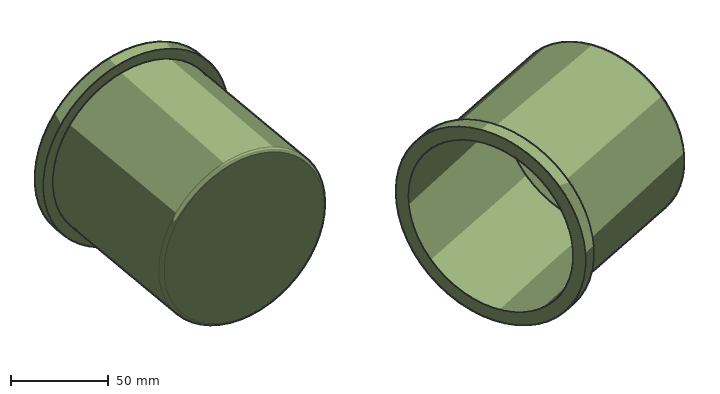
import cadquery as cq
import math

length = 104.0
flange_diameter = 116.0
flange_thickness = 7.8
body_diameter = 104.0
end_rounding_radius = 2.0
bore_diameter = 100.5
floor_diameter = 87.0
floor_cone_angle = 30.0
floor_thickness = 2.0

flange_radius = flange_diameter / 2
body_radius = body_diameter / 2
bore_radius = bore_diameter / 2
floor_radius = floor_diameter / 2
cavity_depth = length - floor_thickness
floor_cone_length = (bore_radius - floor_radius) / math.tan(math.radians(floor_cone_angle))

half_section = (
    cq.Workplane("XY")
    .moveTo(cavity_depth, 0)
    .lineTo(cavity_depth, floor_radius)
    .lineTo(cavity_depth - floor_cone_length, bore_radius)
    .lineTo(0, bore_radius)
    .lineTo(0, flange_radius)
    .lineTo(flange_thickness, flange_radius)
    .lineTo(flange_thickness, body_radius)
    .lineTo(length - end_rounding_radius, body_radius)
    .radiusArc((length, body_radius - end_rounding_radius), end_rounding_radius)
    .lineTo(length, 0)
    .close()
)

result = half_section.revolve(360, (0, 0, 0), (1, 0, 0))